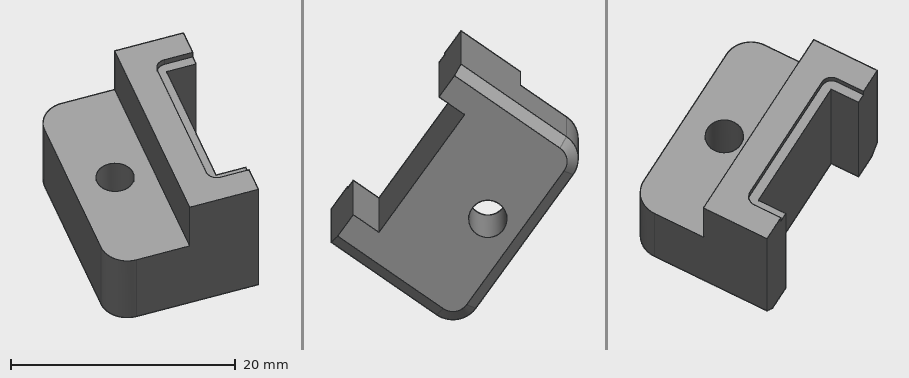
import cadquery as cq

width = 20.0
depth = 14.0
height = 13.6
corner_radius = 2.5
base_chamfer = 1.0

wall_thickness = 6.5
step_height = 8.5

hole_diameter = 3.4
hole_from_front = 4.0

slot_width = 13.2
slot_depth = 2.8
rim_width = 0.9
recess_width = slot_width + 2 * rim_width
recess_depth = slot_depth + rim_width
recess_radius = 1.0
recess_drop = 0.6

wall_front = depth - wall_thickness


def box(x_size, y_start, y_end, z_start, z_end):
    """Box centred on X that spans the given Y and Z ranges."""
    return (
        cq.Workplane("XY", origin=(0, y_start, z_start))
        .box(x_size, y_end - y_start, z_end - z_start, centered=(True, False, False))
    )


def make_base():
    """Lower block with rounded front corners and a chamfered bottom edge."""
    base = box(width, 0, depth, 0, step_height)
    base = base.edges("|Z and <Y").fillet(corner_radius)
    return base.faces("<Z").edges("not >Y").chamfer(base_chamfer)


def make_wall():
    """Tall wall across the rear of the base."""
    return box(width, wall_front, depth, step_height, height)


def make_screw_hole():
    """Vertical through hole in the step."""
    return cq.Workplane("XY", origin=(0, hole_from_front, 0)).circle(hole_diameter / 2).extrude(step_height)


def make_slot():
    """Full-height slot open to the rear."""
    return box(slot_width, depth - slot_depth, depth, 0, height)


def make_recess():
    """Shallow recess around the top of the slot, with rounded inner corners."""
    recess = box(recess_width, depth - recess_depth, depth, height - recess_drop, height)
    return recess.edges("|Z and <Y").fillet(recess_radius)


body = make_base().union(make_wall())
result = body.cut(make_screw_hole()).cut(make_slot()).cut(make_recess())